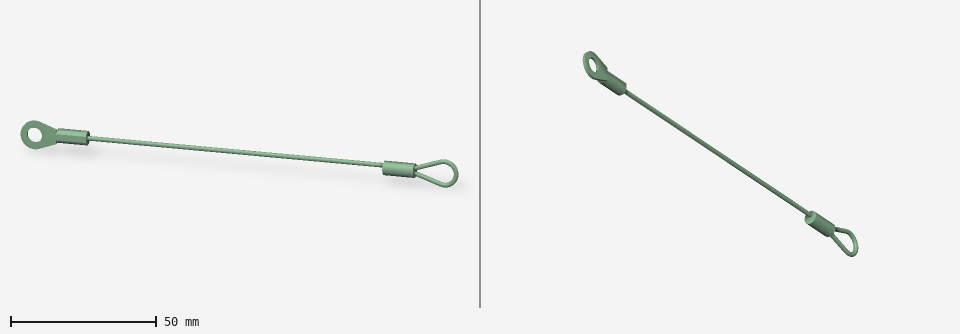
import cadquery as cq
import math

rope_diameter = 1.6
rope_radius = rope_diameter / 2

eye_radius = 5.0
eye_hole_diameter = 5.4
tongue_front_y = -2.25
tongue_thickness = 1.0
barrel_radius = 2.5
barrel_start_x = 7.8
barrel_length = 10.7

ferrule_diameter = 5.0
ferrule_start_x = 125.0
ferrule_length = 11.0
ferrule_end_x = ferrule_start_x + ferrule_length
rope_to_ferrule_axis = 0.9
ferrule_z = -rope_to_ferrule_axis

overall_length = 156.59
loop_outer_radius = 5.0
loop_radius = loop_outer_radius - rope_radius
loop_center_x = overall_length - eye_radius - loop_outer_radius
leg_start_offset = rope_to_ferrule_axis


def tangent_angle(distance_x, distance_z, radius):
    """Direction from a circle's centre to the tangent point of a line through an outside point."""
    distance = math.hypot(distance_x, distance_z)
    return math.atan2(distance_z, distance_x) - math.acos(radius / distance)


def make_tongue():
    """Flat eye plate that tapers tangentially down to the barrel width."""
    angle = -tangent_angle(barrel_start_x, -barrel_radius, eye_radius)
    tangent_x = eye_radius * math.cos(angle)
    tangent_z = eye_radius * math.sin(angle)
    outline = (
        cq.Workplane("XZ", origin=(0, tongue_front_y, 0))
        .moveTo(barrel_start_x, -barrel_radius)
        .lineTo(barrel_start_x, barrel_radius)
        .lineTo(tangent_x, tangent_z)
        .threePointArc((-eye_radius, 0), (tangent_x, -tangent_z))
        .close()
    )
    plate = outline.extrude(-tongue_thickness)
    hole = (
        cq.Workplane("XZ", origin=(0, tongue_front_y, 0))
        .circle(eye_hole_diameter / 2)
        .extrude(-tongue_thickness)
    )
    return plate.cut(hole)


def make_barrel():
    """Crimp barrel: a round bar with a flat flush with the front of the tongue."""
    flat_half_width = math.sqrt(barrel_radius**2 - tongue_front_y**2)
    return (
        cq.Workplane("YZ", origin=(barrel_start_x, 0, 0))
        .moveTo(tongue_front_y, -flat_half_width)
        .lineTo(tongue_front_y, flat_half_width)
        .threePointArc((barrel_radius, 0), (tongue_front_y, -flat_half_width))
        .close()
        .extrude(barrel_length)
    )


def make_rope():
    """Straight rope between the middle of the barrel and the middle of the ferrule."""
    start_x = barrel_start_x + barrel_length / 2
    end_x = ferrule_start_x + ferrule_length / 2
    return (
        cq.Workplane("YZ", origin=(start_x, 0, 0))
        .circle(rope_radius)
        .extrude(end_x - start_x)
    )


def make_ferrule():
    """Round crimp sleeve around both runs of rope."""
    return (
        cq.Workplane("YZ", origin=(ferrule_start_x, 0, ferrule_z))
        .circle(ferrule_diameter / 2)
        .extrude(ferrule_length)
    )


def make_loop():
    """Rope swept along two straight legs joined by a tangent arc."""
    span = loop_center_x - ferrule_end_x
    angle = tangent_angle(-span, leg_start_offset, loop_radius)
    tangent_x = loop_center_x + loop_radius * math.cos(angle)
    tangent_z = loop_radius * math.sin(angle)

    slope = (tangent_z - leg_start_offset) / (tangent_x - ferrule_end_x)
    root_x = ferrule_end_x - rope_radius
    root_z = leg_start_offset - slope * rope_radius

    path = (
        cq.Workplane("XZ", origin=(0, 0, ferrule_z))
        .moveTo(root_x, root_z)
        .lineTo(tangent_x, tangent_z)
        .threePointArc((loop_center_x + loop_radius, 0), (tangent_x, -tangent_z))
        .lineTo(root_x, -root_z)
    )
    profile_plane = cq.Plane(
        origin=(root_x, 0, ferrule_z + root_z),
        xDir=(0, 1, 0),
        normal=(1, 0, slope),
    )
    return cq.Workplane(profile_plane).circle(rope_radius).sweep(path)


result = (
    make_tongue()
    .union(make_barrel())
    .union(make_rope())
    .union(make_ferrule())
    .union(make_loop())
)